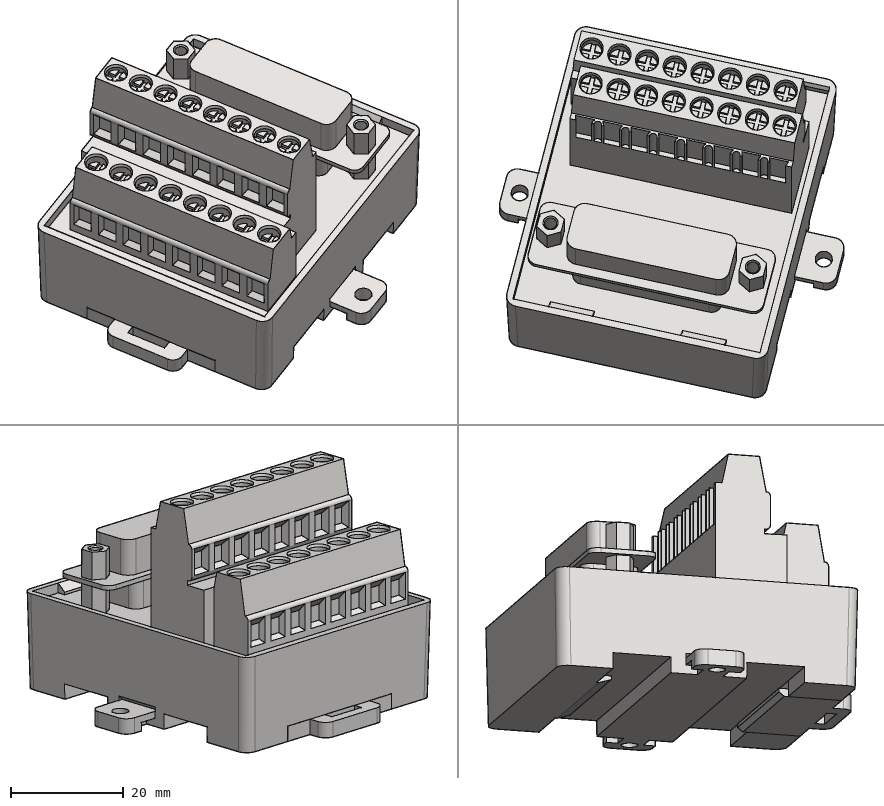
import cadquery as cq
import math

LENGTH_OVER_EARS = 61.6
HOUSING_WIDTH = 47.75
HOUSING_DEPTH = 56.0
HOUSING_HEIGHT = 18.0
DRAFT_INSET = 0.4
CORNER_RADIUS = 2.1
WALL = 1.3
FRONT_WALL = 1.5
RIM_DEPTH = 1.85
PANEL_THICKNESS = 1.25

FOOT_HEIGHT = 2.9
CHANNEL_OUTER_Y = 17.75
CHANNEL_INNER_Y = 7.0
HOOK_REACH = 2.7
HOOK_TOP = 1.4
HOOK_TIP_BOTTOM = 0.75
HOOK_FOOT = 0.4

EAR_WIDTH = 9.05
EAR_Y = -0.3
EAR_RADIUS = 2.0
EAR_HOLE_DIAMETER = 3.0
EAR_HOLE_X = 27.8
EAR_UNDERCUT_X = 27.0
EAR_UNDERCUT_HEIGHT = 1.6
EAR_UNDERCUT_DEPTH = 2.15
EAR_RELIEF = 0.75

SNAP_WIDTH = 8.0
SNAP_X = 12.1
SNAP_REACH = 1.6
SNAP_DROP = 1.35
RIDGE_REACH = 0.55

CLIP_WIDTH = 26.25
CLIP_TAB_WIDTH = 14.95
CLIP_TAB_REACH = 3.5
CLIP_TAB_RADIUS = 1.9
CLIP_SLOT_WIDTH = 7.5
CLIP_SLOT_BAR = 2.1
CLIP_HOOK_REACH = 1.7
CLIP_HOOK_FOOT = 0.75

TOTAL_HEIGHT = 41.45
TERMINAL_COUNT = 8
BLOCK_LENGTH = 40.55
BLOCK_STAGGER = 2.6
UPPER_X = -BLOCK_STAGGER / 2
LOWER_X = BLOCK_STAGGER / 2
PITCH = BLOCK_LENGTH / TERMINAL_COUNT
BEAD_RADIUS = 0.8

UPPER_REAR_Y = -1.85
UPPER_FRONT_Y = -12.0
UPPER_TOP_REAR_Y = -4.2
UPPER_TOP_FRONT_Y = -10.0
LEDGE_Y = -3.0
LEDGE_Z = 36.1
UPPER_BEAD_Z = 35.05
UPPER_NOSE_BOTTOM = 28.2
NECK_Y = -10.9
SHELF_Z = 27.35

LOWER_REAR_Y = -13.5
LOWER_FRONT_Y = -23.55
LOWER_FOOT_Y = -15.0
LOWER_TOP_REAR_Y = -15.7
LOWER_TOP_FRONT_Y = -21.55
LOWER_TOP_Z = 30.3
LOWER_BEAD_Z = 23.65

ENTRY_MOUTH_WIDTH = 3.6
ENTRY_MOUTH_HEIGHT = 5.0
ENTRY_INNER_WIDTH = 2.65
ENTRY_INNER_HEIGHT = 3.0
ENTRY_INNER_DROP = 1.35
UPPER_ENTRY_DEPTH = 1.35
LOWER_ENTRY_DEPTH = 1.1

WELL_RIM_DIAMETER = 4.1
WELL_DIAMETER = 3.7
WELL_RIM_DEPTH = 0.5
UPPER_WELL_DEPTH = 1.2
LOWER_WELL_DEPTH = 1.9
CROSS_WIDTH = 0.8
CROSS_DEPTH = 0.55

DOVETAIL_MOUTH = 2.85
DOVETAIL_BASE = 3.45
DOVETAIL_DEPTH = 0.85
ROUND_GROOVE_RADIUS = 0.7
GROOVE_HEIGHT = 7.4

CONNECTOR_Y = 15.0
FLANGE_LENGTH = 43.0
FLANGE_WIDTH = 12.45
FLANGE_BOTTOM = 21.7
FLANGE_THICKNESS = 0.85
FLANGE_RADIUS = 1.85
SHELL_LENGTH = 29.6
SHELL_WIDTH = 9.05
SHELL_TOP = 29.2
SHELL_RADIUS = 2.0
SKIRT_LENGTH = 27.15
SKIRT_WIDTH = 10.55
SKIRT_RADIUS = 1.85
STANDOFF_X = 18.5
STANDOFF_TOP = 27.7
STANDOFF_FLATS = 4.45
STANDOFF_HOLE_DIAMETER = 2.15
STANDOFF_HOLE_DEPTH = 6.15
STANDOFF_COUNTERSINK = 0.25

RIM_FRONT_Y = -HOUSING_DEPTH / 2
RIM_BACK_Y = HOUSING_DEPTH / 2
BASE_FRONT_Y = RIM_FRONT_Y + DRAFT_INSET
POCKET_WIDTH = HOUSING_WIDTH - 2 * WALL
POCKET_FRONT_Y = RIM_FRONT_Y + FRONT_WALL
POCKET_BACK_Y = RIM_BACK_Y - WALL
PANEL_TOP = HOUSING_HEIGHT - RIM_DEPTH
PANEL_BOTTOM = PANEL_TOP - PANEL_THICKNESS


def box_between(x0, x1, y0, y1, z0, z1):
    return cq.Workplane("XY").box(x1 - x0, y1 - y0, z1 - z0, centered=False).translate((x0, y0, z0))


def x_prism(points, length, x_middle=0.0):
    """Extrude a polygon of (Y, Z) points along X, centred on x_middle."""
    prism = cq.Workplane("YZ").polyline(points).close().extrude(length / 2, both=True)
    return prism.translate((x_middle, 0, 0))


def rounded_slab(length, width, height, radius, center, z):
    slab = cq.Workplane("XY").box(length, width, height, centered=(True, True, False))
    return slab.edges("|Z").fillet(radius).translate((*center, z))


def drafted_shell():
    bottom_inset = 2 * DRAFT_INSET
    top = cq.Sketch().rect(HOUSING_WIDTH, HOUSING_DEPTH).vertices().fillet(CORNER_RADIUS)
    bottom = (
        cq.Sketch()
        .rect(HOUSING_WIDTH - bottom_inset, HOUSING_DEPTH - bottom_inset)
        .vertices()
        .fillet(CORNER_RADIUS)
    )
    return cq.Workplane("XY").placeSketch(bottom, top.moved(cq.Location((0, 0, HOUSING_HEIGHT)))).loft()


def panel_pocket():
    half_width = POCKET_WIDTH / 2
    return box_between(-half_width, half_width, POCKET_FRONT_Y, POCKET_BACK_Y, PANEL_BOTTOM, HOUSING_HEIGHT)


def rail_channels():
    half_width = HOUSING_WIDTH / 2
    rear = box_between(-half_width, half_width, CHANNEL_INNER_Y, CHANNEL_OUTER_Y, 0, FOOT_HEIGHT)
    front = box_between(-half_width, half_width, -CHANNEL_OUTER_Y, -CHANNEL_INNER_Y, 0, FOOT_HEIGHT)
    return rear.union(front)


def fixed_hook():
    tip_y = CHANNEL_OUTER_Y - HOOK_REACH
    profile = [
        (CHANNEL_OUTER_Y, 0),
        (CHANNEL_OUTER_Y, HOOK_TOP),
        (tip_y, HOOK_TOP),
        (tip_y, HOOK_TIP_BOTTOM),
        (CHANNEL_OUTER_Y - HOOK_FOOT, 0),
    ]
    return x_prism(profile, CLIP_WIDTH)


def ears():
    """Both mounting ears as one bar, rounded at the ends, drilled and undercut along its sides."""
    bar = rounded_slab(LENGTH_OVER_EARS, EAR_WIDTH, FOOT_HEIGHT, EAR_RADIUS, (0, EAR_Y), 0)
    holes = (
        cq.Workplane("XY")
        .pushPoints([(-EAR_HOLE_X, EAR_Y), (EAR_HOLE_X, EAR_Y)])
        .circle(EAR_HOLE_DIAMETER / 2)
        .extrude(FOOT_HEIGHT)
    )
    half_width = EAR_WIDTH / 2
    undercut = box_between(
        -EAR_UNDERCUT_X,
        EAR_UNDERCUT_X,
        EAR_Y - half_width,
        EAR_Y - half_width + EAR_UNDERCUT_DEPTH,
        0,
        EAR_UNDERCUT_HEIGHT,
    )
    other_undercut = undercut.translate((0, EAR_WIDTH - EAR_UNDERCUT_DEPTH, 0))
    return bar.cut(holes).cut(undercut).cut(other_undercut)


def ear_reliefs():
    """Sloped clearance in both side walls just above the ears."""
    wall_x = HOUSING_WIDTH / 2
    inner_x = wall_x - DRAFT_INSET - EAR_RELIEF
    top_z = FOOT_HEIGHT + EAR_RELIEF + DRAFT_INSET
    profile = [(inner_x, FOOT_HEIGHT), (wall_x, FOOT_HEIGHT), (wall_x, top_z)]
    right = cq.Workplane("XZ").polyline(profile).close().extrude(EAR_WIDTH / 2, both=True)
    right = right.translate((0, EAR_Y, 0))
    return right.union(right.mirror("YZ"))


def panel_snaps():
    """Two rear snaps and one front ridge, with sloped tops, resting on the panel."""
    rear_tip = POCKET_BACK_Y - SNAP_REACH
    rear_profile = [
        (POCKET_BACK_Y, PANEL_TOP),
        (POCKET_BACK_Y, HOUSING_HEIGHT),
        (rear_tip, HOUSING_HEIGHT - SNAP_DROP),
        (rear_tip, PANEL_TOP),
    ]
    ridge_tip = POCKET_FRONT_Y + RIDGE_REACH
    ridge_profile = [
        (POCKET_FRONT_Y, PANEL_TOP),
        (POCKET_FRONT_Y, HOUSING_HEIGHT),
        (ridge_tip, HOUSING_HEIGHT - RIDGE_REACH),
        (ridge_tip, PANEL_TOP),
    ]
    snaps = x_prism(ridge_profile, POCKET_WIDTH)
    for x in (-SNAP_X, SNAP_X):
        snaps = snaps.union(x_prism(rear_profile, SNAP_WIDTH, x))
    return snaps


def clip_plate():
    """The part of the clip that fills the slot in the front foot."""
    half_width = CLIP_WIDTH / 2
    return box_between(-half_width, half_width, BASE_FRONT_Y, -CHANNEL_OUTER_Y, 0, FOOT_HEIGHT)


def clip_slot():
    half_width = CLIP_WIDTH / 2
    return box_between(-half_width, half_width, RIM_FRONT_Y, -CHANNEL_OUTER_Y, 0, FOOT_HEIGHT)


def make_housing():
    housing = drafted_shell().cut(panel_pocket()).union(panel_snaps())
    housing = housing.cut(rail_channels()).cut(ear_reliefs()).union(fixed_hook())
    return housing.union(ears()).cut(clip_slot())


def make_clip():
    tip_y = -CHANNEL_OUTER_Y + CLIP_HOOK_REACH
    hook_profile = [
        (-CHANNEL_OUTER_Y, 0),
        (-CHANNEL_OUTER_Y + CLIP_HOOK_FOOT, 0),
        (tip_y, HOOK_TIP_BOTTOM),
        (tip_y, HOOK_TOP),
        (-CHANNEL_OUTER_Y, HOOK_TOP),
    ]
    tab_front_y = RIM_FRONT_Y - CLIP_TAB_REACH
    half_tab = CLIP_TAB_WIDTH / 2
    tab = box_between(-half_tab, half_tab, tab_front_y, BASE_FRONT_Y, 0, FOOT_HEIGHT)
    tab = tab.edges("|Z and <Y").fillet(CLIP_TAB_RADIUS)
    half_slot = CLIP_SLOT_WIDTH / 2
    slot = box_between(-half_slot, half_slot, tab_front_y + CLIP_SLOT_BAR, BASE_FRONT_Y, 0, FOOT_HEIGHT)
    return clip_plate().union(x_prism(hook_profile, CLIP_WIDTH)).union(tab.cut(slot))


def quarter_arc_middle(center_y, center_z, vertical):
    """Midpoint of a bead's quarter arc on the -Y side; vertical is +1 above the centre, -1 below."""
    step = BEAD_RADIUS * math.sqrt(0.5)
    return (center_y - step, center_z + vertical * step)


def upper_block_body():
    bead_y = UPPER_FRONT_Y + BEAD_RADIUS
    bead_z = UPPER_BEAD_Z - BEAD_RADIUS
    nose_z = UPPER_NOSE_BOTTOM + BEAD_RADIUS
    profile = (
        cq.Workplane("YZ")
        .moveTo(UPPER_REAR_Y, PANEL_TOP)
        .lineTo(UPPER_REAR_Y, LEDGE_Z)
        .lineTo(LEDGE_Y, LEDGE_Z)
        .lineTo(UPPER_TOP_REAR_Y, TOTAL_HEIGHT)
        .lineTo(UPPER_TOP_FRONT_Y, TOTAL_HEIGHT)
        .lineTo(bead_y, UPPER_BEAD_Z)
        .threePointArc(quarter_arc_middle(bead_y, bead_z, 1), (UPPER_FRONT_Y, bead_z))
        .lineTo(UPPER_FRONT_Y, nose_z)
        .threePointArc(quarter_arc_middle(bead_y, nose_z, -1), (bead_y, UPPER_NOSE_BOTTOM))
        .lineTo(NECK_Y, UPPER_NOSE_BOTTOM)
        .lineTo(NECK_Y, SHELF_Z)
        .lineTo(LOWER_FOOT_Y, SHELF_Z)
        .lineTo(LOWER_FOOT_Y, PANEL_TOP)
        .close()
    )
    return profile.extrude(BLOCK_LENGTH / 2, both=True).translate((UPPER_X, 0, 0))


def lower_block_body():
    bead_y = LOWER_FRONT_Y + BEAD_RADIUS
    bead_z = LOWER_BEAD_Z - BEAD_RADIUS
    profile = (
        cq.Workplane("YZ")
        .moveTo(LOWER_REAR_Y, PANEL_TOP)
        .lineTo(LOWER_REAR_Y, SHELF_Z)
        .lineTo(LOWER_FOOT_Y, SHELF_Z)
        .lineTo(LOWER_TOP_REAR_Y, LOWER_TOP_Z)
        .lineTo(LOWER_TOP_FRONT_Y, LOWER_TOP_Z)
        .lineTo(bead_y, LOWER_BEAD_Z)
        .threePointArc(quarter_arc_middle(bead_y, bead_z, 1), (LOWER_FRONT_Y, bead_z))
        .lineTo(LOWER_FRONT_Y, PANEL_TOP)
        .close()
    )
    return profile.extrude(BLOCK_LENGTH / 2, both=True).translate((LOWER_X, 0, 0))


def terminal_positions(block_x):
    first = block_x - BLOCK_LENGTH / 2 + PITCH / 2
    return [first + i * PITCH for i in range(TERMINAL_COUNT)]


def wire_entry(x, front_y, mouth_top, depth):
    """A funnel that opens on the block's front face, just below its bead."""
    mouth_z = mouth_top - ENTRY_MOUTH_HEIGHT / 2
    inner_z = mouth_top - ENTRY_INNER_DROP - ENTRY_INNER_HEIGHT / 2
    return (
        cq.Workplane("XZ", origin=(x, front_y, mouth_z))
        .rect(ENTRY_MOUTH_WIDTH, ENTRY_MOUTH_HEIGHT)
        .workplane(offset=-depth)
        .center(0, inner_z - mouth_z)
        .rect(ENTRY_INNER_WIDTH, ENTRY_INNER_HEIGHT)
        .loft(ruled=True)
    )


def screw_well(x, y, top_z, depth):
    """A round well with a flared rim and a cross slot in the screw head at its floor."""
    floor_z = top_z - depth
    well = cq.Workplane("XY", origin=(x, y, floor_z)).circle(WELL_DIAMETER / 2).extrude(depth)
    rim = (
        cq.Workplane("XY", origin=(x, y, top_z))
        .circle(WELL_RIM_DIAMETER / 2)
        .workplane(offset=-WELL_RIM_DEPTH)
        .circle(WELL_DIAMETER / 2)
        .loft()
    )
    cross_plane = cq.Workplane("XY", origin=(x, y, floor_z - CROSS_DEPTH))
    cross = cross_plane.rect(WELL_DIAMETER, CROSS_WIDTH).extrude(CROSS_DEPTH)
    cross = cross.union(cross_plane.rect(CROSS_WIDTH, WELL_DIAMETER).extrude(CROSS_DEPTH))
    cross = cross.intersect(cross_plane.circle(WELL_DIAMETER / 2).extrude(CROSS_DEPTH))
    return well.union(rim).union(cross)


def rear_grooves():
    """Dovetail grooves behind each terminal and half-round grooves between neighbours."""
    groove_bottom = LEDGE_Z - GROOVE_HEIGHT
    positions = terminal_positions(UPPER_X)
    base_y = UPPER_REAR_Y - DOVETAIL_DEPTH
    grooves = cq.Workplane("XY")
    for x in positions:
        outline = [
            (x - DOVETAIL_MOUTH / 2, UPPER_REAR_Y),
            (x + DOVETAIL_MOUTH / 2, UPPER_REAR_Y),
            (x + DOVETAIL_BASE / 2, base_y),
            (x - DOVETAIL_BASE / 2, base_y),
        ]
        dovetail = cq.Workplane("XY", origin=(0, 0, groove_bottom)).polyline(outline).close()
        grooves = grooves.add(dovetail.extrude(GROOVE_HEIGHT))
    between = [(x + PITCH / 2, UPPER_REAR_Y) for x in positions[:-1]]
    rounds = cq.Workplane("XY", origin=(0, 0, groove_bottom)).pushPoints(between)
    return grooves.add(rounds.circle(ROUND_GROOVE_RADIUS).extrude(GROOVE_HEIGHT)).combine()


def upper_block():
    block = upper_block_body().cut(rear_grooves())
    screw_y = (UPPER_TOP_REAR_Y + UPPER_TOP_FRONT_Y) / 2
    mouth_top = UPPER_BEAD_Z - BEAD_RADIUS
    for x in terminal_positions(UPPER_X):
        block = block.cut(wire_entry(x, UPPER_FRONT_Y, mouth_top, UPPER_ENTRY_DEPTH))
        block = block.cut(screw_well(x, screw_y, TOTAL_HEIGHT, UPPER_WELL_DEPTH))
    return block


def lower_block():
    block = lower_block_body()
    screw_y = (LOWER_TOP_REAR_Y + LOWER_TOP_FRONT_Y) / 2
    mouth_top = LOWER_BEAD_Z - BEAD_RADIUS
    for x in terminal_positions(LOWER_X):
        block = block.cut(wire_entry(x, LOWER_FRONT_Y, mouth_top, LOWER_ENTRY_DEPTH))
        block = block.cut(screw_well(x, screw_y, LOWER_TOP_Z, LOWER_WELL_DEPTH))
    return block


def standoff(x):
    height = STANDOFF_TOP - PANEL_TOP
    across_corners = STANDOFF_FLATS / math.cos(math.radians(30))
    post = cq.Workplane("XY").polygon(6, across_corners).extrude(height)
    post = post.rotate((0, 0, 0), (0, 0, 1), 30)
    post = post.faces(">Z").workplane().hole(STANDOFF_HOLE_DIAMETER, STANDOFF_HOLE_DEPTH)
    post = post.faces(">Z").edges("%CIRCLE").chamfer(STANDOFF_COUNTERSINK)
    return post.translate((x, CONNECTOR_Y, PANEL_TOP))


def connector():
    center = (0, CONNECTOR_Y)
    skirt_height = FLANGE_BOTTOM - PANEL_TOP
    body = rounded_slab(SKIRT_LENGTH, SKIRT_WIDTH, skirt_height, SKIRT_RADIUS, center, PANEL_TOP)
    flange = rounded_slab(FLANGE_LENGTH, FLANGE_WIDTH, FLANGE_THICKNESS, FLANGE_RADIUS, center, FLANGE_BOTTOM)
    shell_height = SHELL_TOP - FLANGE_BOTTOM
    shell = rounded_slab(SHELL_LENGTH, SHELL_WIDTH, shell_height, SHELL_RADIUS, center, FLANGE_BOTTOM)
    return body.union(flange).union(shell).union(standoff(-STANDOFF_X)).union(standoff(STANDOFF_X))


def make_terminal_panel():
    """The panel with its connector and terminal blocks, which drops into the housing."""
    half_width = POCKET_WIDTH / 2
    panel = box_between(-half_width, half_width, POCKET_FRONT_Y, POCKET_BACK_Y, PANEL_BOTTOM, PANEL_TOP)
    return panel.union(upper_block()).union(lower_block()).union(connector())


housing = make_housing()
terminal_panel = make_terminal_panel()
rail_clip = make_clip()

result = cq.Compound.makeCompound([housing.val(), terminal_panel.val(), rail_clip.val()])